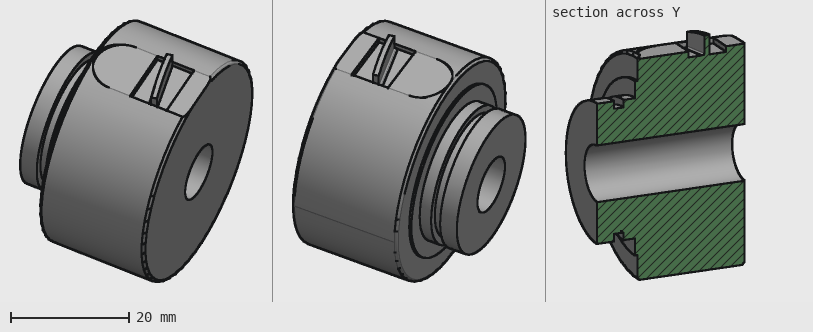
import cadquery as cq

body_radius = 20.0
body_start = 7.5
total_length = 27.5
rim_size = 0.5

spigot_radius = 12.5
groove_radius = 11.17
groove_start = 3.2
groove_end = 4.9
collar_radius = 15.53
collar_start = 7.07
bore_radius = 5.0

slot_width = 10.0
half_slot = slot_width / 2
slot_floor = (body_radius**2 - half_slot**2) ** 0.5
slot_start = body_start + rim_size

recess_start = 17.05
recess_end = 24.0
recess_depth = 1.0
recess_floor = slot_floor - recess_depth

key_angle = 12
key_thickness = 1.0
key_center = 20.45
key_length = 9.95
total_height = 41.85
key_top = total_height - body_radius
key_crown_radius = 18.0
key_foot_width = 0.6
key_foot_height = 0.05
key_foot_fillet = 0.25


def x_cylinder(radius, start, end):
    return cq.Workplane("YZ", origin=(start, 0, 0)).circle(radius).extrude(end - start)


def make_turned_body():
    body = x_cylinder(body_radius, body_start, total_length)
    body = body.faces("<X or >X").edges().fillet(rim_size)
    spigot = x_cylinder(spigot_radius, 0, groove_start)
    neck = x_cylinder(groove_radius, groove_start, groove_end)
    shoulder = x_cylinder(spigot_radius, groove_end, collar_start)
    collar = x_cylinder(collar_radius, collar_start, body_start)
    bore = x_cylinder(bore_radius, 0, total_length)
    return body.union(collar).union(shoulder).union(neck).union(spigot).cut(bore)


def make_slot():
    """Slot with a round closed end, running out through the back face."""
    round_center = slot_start + half_slot
    return (
        cq.Workplane("XY", origin=(0, 0, slot_floor))
        .moveTo(total_length, -half_slot)
        .lineTo(round_center, -half_slot)
        .threePointArc((slot_start, 0), (round_center, half_slot))
        .lineTo(total_length, half_slot)
        .close()
        .extrude(body_radius)
    )


def make_recess():
    recess = cq.Workplane("XY").box(
        recess_end - recess_start, slot_width, recess_depth, centered=(False, True, False)
    )
    return recess.translate((recess_start, 0, recess_floor))


def make_key():
    """Upright key with a crowned top and a filleted foot, turned about the vertical."""
    half_thickness = key_thickness / 2
    foot_edge = -half_thickness - key_foot_width
    foot_top = recess_floor + key_foot_height
    fillet_drop = key_foot_fillet * (1 - 0.5**0.5)
    blade = (
        cq.Workplane("XZ", origin=(0, key_length / 2, 0))
        .moveTo(half_thickness, recess_floor)
        .lineTo(half_thickness, key_top)
        .lineTo(-half_thickness, key_top)
        .lineTo(-half_thickness, foot_top + key_foot_fillet)
        .threePointArc(
            (-half_thickness - fillet_drop, foot_top + fillet_drop),
            (-half_thickness - key_foot_fillet, foot_top),
        )
        .lineTo(foot_edge, foot_top)
        .lineTo(foot_edge, recess_floor)
        .close()
        .extrude(key_length)
    )
    crown = x_cylinder(key_crown_radius, foot_edge, half_thickness)
    crown = crown.translate((0, 0, key_top - key_crown_radius))
    blade = blade.intersect(crown)
    return blade.rotate((0, 0, 0), (0, 0, 1), key_angle).translate((key_center, 0, 0))


result = make_turned_body().cut(make_slot()).cut(make_recess()).union(make_key())